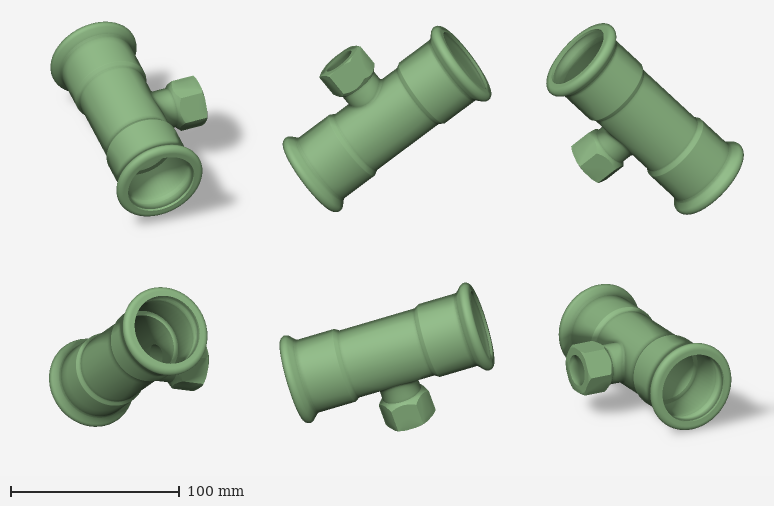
import cadquery as cq
import math

length = 118.0
tube_radius = 41.4 / 2
tube_bore_radius = 18.2
socket_radius = 45.0 / 2
wall = 1.5
socket_bore_radius = socket_radius - wall

bead_radius = 3.2
bead_center_radius = 23.8
groove_arc_radius = bead_radius - wall
bead_fillet = 2.1

taper_start = 32.6
taper_end = 35.5
taper_start_fillet = 0.6
taper_end_fillet = 0.8

branch_end = 46.0
neck_radius = 23.8 / 2
neck_fillet = 1.4
hex_across_flats = 27.0
hex_corner_radius = hex_across_flats / math.sqrt(3)
hex_bottom = 28.0
hex_top_face_radius = 13.9
hex_top_chamfer_angle = 30
branch_bore_radius = 9.3


def bead_section(profile, arc_radius, base_radius, lip):
    """Trace the bead arc and its 45 degree flank down to base_radius."""
    slant = arc_radius * math.sqrt(0.5)
    flank_drop = bead_center_radius + slant - base_radius
    profile = profile.lineTo(lip, bead_center_radius)
    profile = profile.threePointArc(
        (bead_radius, bead_center_radius + arc_radius),
        (bead_radius + slant, bead_center_radius + slant),
    )
    return profile.lineTo(bead_radius + slant + flank_drop, base_radius)


def circle_edges_at(solid, radius, x):
    """Select the circular edge of the given radius around X at position x."""
    tolerance = 0.01
    return solid.edges(
        cq.selectors.BoxSelector(
            (x - tolerance, -radius - 1.2, -radius - 1.2),
            (x + tolerance, radius + 1.2, radius + 1.2),
            boundingbox=True,
        )
    )


def bead_flank_end(arc_radius, base_radius):
    return bead_radius + arc_radius * math.sqrt(2) + bead_center_radius - base_radius


def half_run_outside():
    profile = cq.Workplane("XY").moveTo(0, 0)
    profile = bead_section(profile, bead_radius, socket_radius, 0)
    profile = (
        profile.lineTo(taper_start, socket_radius)
        .lineTo(taper_end, tube_radius)
        .lineTo(length / 2, tube_radius)
        .lineTo(length / 2, 0)
        .close()
    )
    solid = profile.revolve(360, (0, 0, 0), (1, 0, 0))
    flank_end = bead_flank_end(bead_radius, socket_radius)
    solid = circle_edges_at(solid, socket_radius, flank_end).fillet(bead_fillet)
    solid = circle_edges_at(solid, socket_radius, taper_start).fillet(taper_start_fillet)
    return circle_edges_at(solid, tube_radius, taper_end).fillet(taper_end_fillet)


def half_run_inside():
    profile = cq.Workplane("XY").moveTo(0, 0).lineTo(0, socket_bore_radius)
    profile = profile.lineTo(wall, socket_bore_radius)
    profile = bead_section(profile, groove_arc_radius, socket_bore_radius, wall)
    profile = (
        profile.lineTo(taper_start, socket_bore_radius)
        .lineTo(taper_start, tube_bore_radius)
        .lineTo(length / 2, tube_bore_radius)
        .lineTo(length / 2, 0)
        .close()
    )
    solid = profile.revolve(360, (0, 0, 0), (1, 0, 0))
    flank_end = bead_flank_end(groove_arc_radius, socket_bore_radius)
    return circle_edges_at(solid, socket_bore_radius, flank_end).fillet(bead_fillet + wall)


def both_halves(half):
    """Join a half run with its mirror image about the middle of the tube."""
    return half.union(half.mirror("YZ", (length / 2, 0, 0))).clean()


def branch_cylinder(radius, end):
    plane = cq.Plane(origin=(length / 2, 0, 0), xDir=(1, 0, 0), normal=(0, 1, 0))
    return cq.Workplane(plane).circle(radius).extrude(end)


def hex_end():
    plane = cq.Plane(origin=(length / 2, hex_bottom, 0), xDir=(1, 0, 0), normal=(0, 1, 0))
    prism = cq.Workplane(plane).polygon(6, 2 * hex_corner_radius).extrude(branch_end - hex_bottom)
    envelope_radius = hex_corner_radius + 1.2
    top_drop = (envelope_radius - hex_top_face_radius) * math.tan(math.radians(hex_top_chamfer_angle))
    envelope = (
        cq.Workplane("XY", origin=(length / 2, 0, 0))
        .moveTo(0, hex_bottom)
        .lineTo(neck_radius, hex_bottom)
        .lineTo(envelope_radius, hex_bottom + envelope_radius - neck_radius)
        .lineTo(envelope_radius, branch_end - top_drop)
        .lineTo(hex_top_face_radius, branch_end)
        .lineTo(0, branch_end)
        .close()
        .revolve(360, (0, 0, 0), (0, 1, 0))
    )
    return prism.intersect(envelope)


run = both_halves(half_run_outside())
body = run.union(branch_cylinder(neck_radius, hex_bottom))
neck_joint = cq.selectors.BoxSelector(
    (length / 2 - neck_radius - 1.2, tube_bore_radius - 2.4, -neck_radius - 1.2),
    (length / 2 + neck_radius + 1.2, tube_radius + 1.2, neck_radius + 1.2),
    boundingbox=True,
)
body = body.edges(neck_joint).fillet(neck_fillet)
body = body.union(hex_end())
body = body.cut(both_halves(half_run_inside()))
result = body.cut(branch_cylinder(branch_bore_radius, branch_end)).translate((-length / 2, 0, 0))